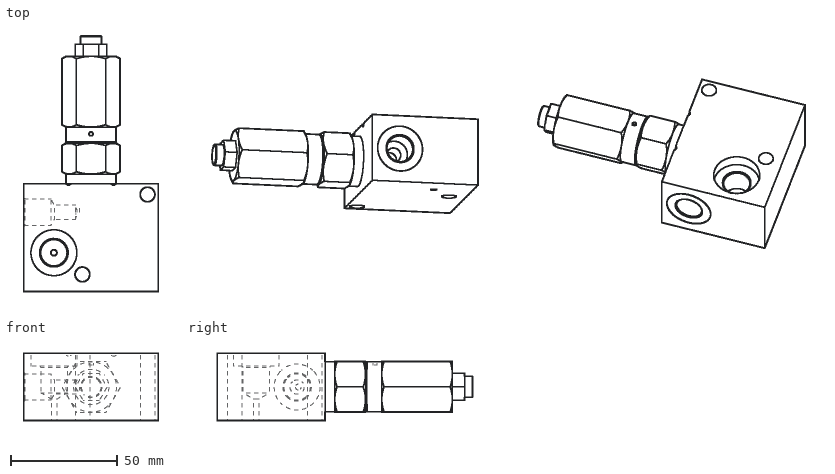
import cadquery as cq
import math

BLOCK_X = 63.5
BLOCK_Y = 50.8
BLOCK_Z = 31.75
LEFT_X = -BLOCK_X / 2
TOP_Z = BLOCK_Z / 2

BODY_WIDTH = 23.8
COLLAR_DIAMETER = 23.7
NECK_DIAMETER = 16.6
LOCK_NUT_WIDTH = 12.9
STEM_DIAMETER = 10.0
STEM_CHAMFER = 0.4
HEX_CHAMFER_ANGLE = 30.0
LOWER_HEX_START = 4.5
LOWER_HEX_END = 19.0
UPPER_COLLAR_START = 19.6
UPPER_HEX_START = 26.6
UPPER_HEX_END = 59.9
LOCK_NUT_END = 65.6
STEM_END = 69.49

VENT_DIAMETER = 1.9
VENT_DEPTH = 1.5
VENT_Y = 23.4

PORT_SPOT_DIAMETER = 21.6
PORT_MOUTH_DIAMETER = 13.4
PORT_BORE_DIAMETER = 12.4
PORT_BORE_DEPTH = 12.5
DRILL_POINT_ANGLE = 118.0

TOP_PORT_X = -17.46
TOP_PORT_Y = -32.5
TOP_SPOT_DEPTH = 6.1
TOP_DRILL_DIAMETER = 2.7

SIDE_PORT_Y = -13.3
SIDE_SPOT_DEPTH = 0.2
SIDE_DRILL_DIAMETER = 6.7

BARREL_DIAMETER = 15.0
CROSS_HOLE_DIAMETER = 2.7
CROSS_HOLE_Y = -12.75
CROSS_HOLE_DEPTH = 2.0

MOUNT_DIAMETER = 6.8
MOUNT_POSITIONS = [(26.6, -5.1), (-4.05, -42.7)]
NOTCH_X = 10.6
NOTCH_RADIUS = 1.4
NOTCH_DEPTH = 0.8
NOTCH_TIP_RADIUS = 0.1


def cylinder_y(diameter, start, end):
    """Cylinder on the cartridge axis between two Y stations."""
    return cq.Workplane("XZ", origin=(0, start, 0)).circle(diameter / 2).extrude(start - end)


def hexagon_y(width, start, end):
    """Hexagonal prism on the cartridge axis with corners on +X and -X."""
    corner_diameter = width / math.cos(math.pi / 6)
    return cq.Workplane("XZ", origin=(0, start, 0)).polygon(6, corner_diameter).extrude(start - end)


def chamfered_hexagon(width, start, end):
    """Hexagonal prism whose corners are turned conical at both ends."""
    face_radius = COLLAR_DIAMETER / 2
    corner_radius = width / 2 / math.cos(math.pi / 6)
    drop = (corner_radius - face_radius) * math.tan(math.radians(HEX_CHAMFER_ANGLE))
    outline = [
        (0, start),
        (face_radius, start),
        (corner_radius, start + drop),
        (corner_radius, end - drop),
        (face_radius, end),
        (0, end),
    ]
    turned = cq.Workplane("XY").polyline(outline).close().revolve(360, (0, 0, 0), (0, 1, 0))
    return hexagon_y(width, start, end).intersect(turned)


def make_cartridge():
    stem = cylinder_y(STEM_DIAMETER, LOCK_NUT_END, STEM_END).faces(">Y").chamfer(STEM_CHAMFER)
    vent = (
        cq.Workplane("XY", origin=(0, VENT_Y, COLLAR_DIAMETER / 2 - VENT_DEPTH))
        .circle(VENT_DIAMETER / 2)
        .extrude(2 * VENT_DEPTH)
    )
    return (
        cylinder_y(COLLAR_DIAMETER, 0, LOWER_HEX_START)
        .union(chamfered_hexagon(BODY_WIDTH, LOWER_HEX_START, LOWER_HEX_END))
        .union(cylinder_y(NECK_DIAMETER, LOWER_HEX_END, UPPER_COLLAR_START))
        .union(cylinder_y(COLLAR_DIAMETER, UPPER_COLLAR_START, UPPER_HEX_START))
        .union(chamfered_hexagon(BODY_WIDTH, UPPER_HEX_START, UPPER_HEX_END))
        .union(hexagon_y(LOCK_NUT_WIDTH, UPPER_HEX_END, LOCK_NUT_END))
        .union(stem)
        .cut(vent)
    )


def port_cutter(spot_depth, drill_diameter, total_depth):
    """Port entering along -Z from the XY plane: spot face, countersunk bore, drill point and drill."""
    mouth_radius = PORT_MOUTH_DIAMETER / 2
    bore_radius = PORT_BORE_DIAMETER / 2
    drill_radius = drill_diameter / 2
    bore_bottom = spot_depth + PORT_BORE_DEPTH
    point_depth = (bore_radius - drill_radius) / math.tan(math.radians(DRILL_POINT_ANGLE / 2))
    countersink_bottom = spot_depth + mouth_radius - bore_radius
    outline = [
        (0, 0),
        (PORT_SPOT_DIAMETER / 2, 0),
        (PORT_SPOT_DIAMETER / 2, -spot_depth),
        (mouth_radius, -spot_depth),
        (bore_radius, -countersink_bottom),
        (bore_radius, -bore_bottom),
        (drill_radius, -bore_bottom - point_depth),
        (drill_radius, -total_depth),
        (0, -total_depth),
    ]
    return cq.Workplane("XZ").polyline(outline).close().revolve(360, (0, 0, 0), (0, 1, 0))


def top_port():
    cutter = port_cutter(TOP_SPOT_DEPTH, TOP_DRILL_DIAMETER, BLOCK_Z)
    return cutter.translate((TOP_PORT_X, TOP_PORT_Y, TOP_Z))


def side_port():
    """Port in the -X face, stopping on the round cartridge barrel, plus the barrel's cross hole."""
    barrel = cylinder_y(BARREL_DIAMETER, -BLOCK_Y, 0)
    cutter = (
        port_cutter(SIDE_SPOT_DEPTH, SIDE_DRILL_DIAMETER, -LEFT_X)
        .rotate((0, 0, 0), (0, 1, 0), -90)
        .translate((LEFT_X, SIDE_PORT_Y, 0))
        .cut(barrel)
    )
    cross_hole = (
        cq.Workplane("YZ", origin=(-BARREL_DIAMETER / 2 + CROSS_HOLE_DEPTH, CROSS_HOLE_Y, 0))
        .circle(CROSS_HOLE_DIAMETER / 2)
        .extrude(-2 * CROSS_HOLE_DEPTH)
    )
    return cutter.union(cross_hole)


def mounting_holes():
    return (
        cq.Workplane("XY", origin=(0, 0, -TOP_Z))
        .pushPoints(MOUNT_POSITIONS)
        .circle(MOUNT_DIAMETER / 2)
        .extrude(BLOCK_Z)
    )


def edge_notch(x):
    """Small blunt conical dimple centred on the top edge of the cartridge face."""
    cone = cq.Solid.makeCone(
        NOTCH_RADIUS, NOTCH_TIP_RADIUS, NOTCH_DEPTH, pnt=cq.Vector(x, 0, TOP_Z), dir=cq.Vector(0, -1, 0)
    )
    return cq.Workplane(obj=cone)


def make_block():
    block = cq.Workplane("XY").box(BLOCK_X, BLOCK_Y, BLOCK_Z).translate((0, -BLOCK_Y / 2, 0))
    block = block.cut(top_port()).cut(side_port()).cut(mounting_holes())
    for side in (-1, 1):
        block = block.cut(edge_notch(side * NOTCH_X))
    return block


result = make_block().union(make_cartridge())